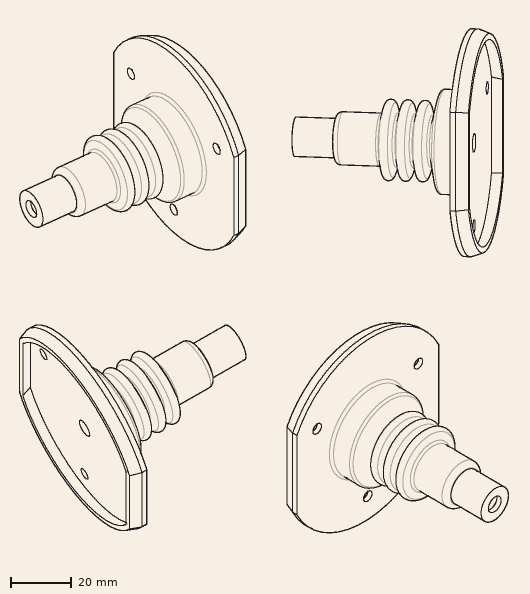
import cadquery as cq
import math


flange_radius = 37.85
flange_width = 68.0
taper_depth = 4.0
taper_angle = 20.0
rim_thickness = 2.0
rim_wall = 2.0
flange_thickness = taper_depth + rim_thickness

hole_count = 3
hole_diameter = 4.0
hole_circle_radius = 28.0
first_hole_angle = -90.0

collar_radius = 17.5
collar_length = 9.1
small_fillet = 1.0

flank_angle = 15.0
ring_count = 3
ring_radius = 13.55
ring_tip_round = 1.5
ring_pitch = 5.75
first_ring_depth = 20.9
groove_round = 0.5

sleeve_radius = 8.85
sleeve_end_depth = 50.4
sleeve_end_fillet = 2.0
tube_radius = 6.6
total_depth = 64.2
bore_diameter = 6.05

lip_thickness = 2.0
groove_depth_in_wall = 2.6
groove_straight_width = 1.5

flank = math.radians(flank_angle)
collar_end_depth = flange_thickness + collar_length
ring_tip_center_radius = ring_radius - ring_tip_round
ring_depths = [first_ring_depth + i * ring_pitch for i in range(ring_count)]
last_ring_depth = ring_depths[-1]


def flange_outline(plane, depth, inset=0):
    """Disc outline cut by the two flats, shrunk by an inset, on a plane at the given depth."""
    half_width = flange_width / 2 - inset
    outline_radius = flange_radius - inset
    half_flat = math.sqrt(outline_radius**2 - half_width**2)
    return (
        cq.Workplane(plane, origin=(0, -depth, 0))
        .moveTo(half_width, -half_flat)
        .lineTo(half_width, half_flat)
        .threePointArc((0, outline_radius), (-half_width, half_flat))
        .lineTo(-half_width, -half_flat)
        .threePointArc((0, -outline_radius), (half_width, -half_flat))
        .close()
    )


def tapered_section(inset=0):
    """Rear part of the flange, narrowing from the rim to the rear face."""
    rear_plane = cq.Plane(origin=(0, 0, 0), xDir=(-1, 0, 0), normal=(0, 1, 0))
    section = flange_outline(rear_plane, 0, inset).extrude(taper_depth, taper=taper_angle)
    return section.translate((0, -taper_depth, 0))


def make_flange():
    rim = flange_outline("XZ", taper_depth).extrude(rim_thickness)
    return rim.union(tapered_section()).cut(tapered_section(rim_wall))


def add_round(profile, center_depth, center_radius, round_radius, start_angle, end_angle):
    """Run straight to an arc and follow it. Angle 0 points along -Y and 90 points outward."""

    def on_arc(angle):
        turn = math.radians(angle)
        return (
            center_radius + round_radius * math.sin(turn),
            -center_depth - round_radius * math.cos(turn),
        )

    middle_angle = (start_angle + end_angle) / 2
    profile = profile.lineTo(*on_arc(start_angle))
    return profile.threePointArc(on_arc(middle_angle), on_arc(end_angle))


def first_groove_center():
    """Depth and radius of the round that touches both the collar cone and the first ring."""
    cone_axis_depth = collar_end_depth + collar_radius * math.tan(flank)
    ring_axis_depth = (
        first_ring_depth
        - ring_tip_round / math.cos(flank)
        - ring_tip_center_radius * math.tan(flank)
    )
    depth = (cone_axis_depth + ring_axis_depth) / 2
    meeting_radius = (cone_axis_depth - ring_axis_depth) / (2 * math.tan(flank))
    return depth, meeting_radius + groove_round / math.sin(flank)


def ring_groove_radius():
    """Radius of the groove round's center midway between two rings."""
    normal_gap = ring_pitch / 2 * math.cos(flank) - ring_tip_round - groove_round
    return ring_tip_center_radius - normal_gap / math.sin(flank)


def make_body():
    profile = cq.Workplane("XY").moveTo(0, -taper_depth)
    profile = profile.lineTo(collar_radius + small_fillet, -taper_depth)

    profile = add_round(
        profile, flange_thickness + small_fillet, collar_radius + small_fillet, small_fillet, 180, 270
    )
    edge_setback = small_fillet * math.tan((math.pi / 2 - flank) / 2)
    profile = add_round(
        profile, collar_end_depth - edge_setback, collar_radius - small_fillet, small_fillet, 90, flank_angle
    )

    groove_depth, groove_radius = first_groove_center()
    for ring_depth in ring_depths:
        profile = add_round(
            profile, groove_depth, groove_radius, groove_round, 180 + flank_angle, 360 - flank_angle
        )
        profile = add_round(
            profile, ring_depth, ring_tip_center_radius, ring_tip_round, 180 - flank_angle, flank_angle
        )
        groove_depth = ring_depth + ring_pitch / 2
        groove_radius = ring_groove_radius()

    root_radius = sleeve_radius + small_fillet
    root_drop = (ring_tip_center_radius - root_radius) * math.sin(flank)
    root_depth = last_ring_depth + (ring_tip_round + small_fillet + root_drop) / math.cos(flank)
    profile = add_round(profile, root_depth, root_radius, small_fillet, 180 + flank_angle, 270)
    profile = add_round(
        profile,
        sleeve_end_depth - sleeve_end_fillet,
        sleeve_radius - sleeve_end_fillet,
        sleeve_end_fillet,
        90,
        0,
    )

    profile = (
        profile.lineTo(tube_radius, -sleeve_end_depth)
        .lineTo(tube_radius, -total_depth)
        .lineTo(0, -total_depth)
        .close()
    )
    return profile.revolve(360, (0, 0, 0), (0, 1, 0))


def make_tube_groove():
    """Ring-shaped space around the bore, square at the lip and rounded on its rear side."""
    bore_radius = bore_diameter / 2
    lip_y = lip_thickness - total_depth
    round_y = lip_y + groove_straight_width
    profile = cq.Workplane("XY").moveTo(0, lip_y).lineTo(bore_radius + groove_depth_in_wall, lip_y)
    profile = add_round(profile, -round_y, bore_radius, groove_depth_in_wall, 90, 180)
    profile = profile.lineTo(0, round_y + groove_depth_in_wall).close()
    return profile.revolve(360, (0, 0, 0), (0, 1, 0))


def make_holes():
    bore = cq.Workplane("XZ").circle(bore_diameter / 2).extrude(total_depth)
    mounting_holes = (
        cq.Workplane("XZ")
        .polarArray(hole_circle_radius, first_hole_angle, 360, hole_count)
        .circle(hole_diameter / 2)
        .extrude(flange_thickness)
    )
    return bore.union(mounting_holes)


result = make_flange().union(make_body()).cut(make_holes()).cut(make_tube_groove())